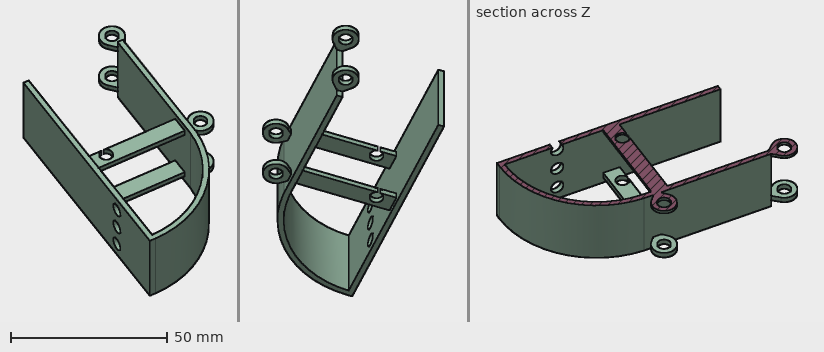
import cadquery as cq
import math

plate_length = 80.0
body_width = 37.0
body_height = 26.0
wall = 2.0
bend_radius = body_width - wall
bend_center_x = plate_length - bend_radius
back_plate_length = 46.1

hole_diameter = 4.46

plate_hole_x = 59.1
plate_hole_pitch = 8.0

bar_start_x = 36.5
bar_width = 6.0
bar_thickness = 2.0
bar_edge_gap = 2.2
bar_hole_x = 38.7
bar_hole_y = 8.0

lug_ring_width = 2.0
lug_radius = hole_diameter / 2 + lug_ring_width
lug_thickness = 2.0
lug_edge_gap = 2.5
lug_reach = 5.21
lug_root_width = wall
end_lug_root = (0.0, body_width - wall / 2)
back_lug_root = (41.2, 36.41)


def mirrored_levels(edge_gap, thickness):
    """Bottom heights of a pair of features set equally far from both edges."""
    return (edge_gap, body_height - edge_gap - thickness)


def make_body():
    """Plates and quarter-round end, extruded over the full height."""
    inner_radius = bend_radius - wall
    diagonal = math.sqrt(0.5)

    def bend_middle(radius):
        return (bend_center_x + radius * diagonal, wall + radius * diagonal)

    return (
        cq.Workplane("XY")
        .lineTo(plate_length, 0)
        .lineTo(plate_length, wall)
        .threePointArc(bend_middle(bend_radius), (back_plate_length, body_width))
        .lineTo(0, body_width)
        .lineTo(0, body_width - wall)
        .lineTo(back_plate_length, body_width - wall)
        .threePointArc(bend_middle(inner_radius), (plate_length - wall, wall))
        .lineTo(0, wall)
        .close()
        .extrude(body_height)
    )


def make_plate_holes():
    """Cutters for the three holes in the flat plate."""
    middle = body_height / 2
    centers = [(plate_hole_x, middle + step * plate_hole_pitch) for step in (-1, 0, 1)]
    return cq.Workplane("XZ").pushPoints(centers).circle(hole_diameter / 2).extrude(-wall)


def make_bar(bottom):
    """Cross bar with its pin hole; its ends meet the inner faces of the plates."""
    bar_length = body_width - 2 * wall
    bar = (
        cq.Workplane("XY", origin=(bar_start_x, wall, bottom))
        .rect(bar_width, bar_length, centered=False)
        .extrude(bar_thickness)
    )
    hole = (
        cq.Workplane("XY", origin=(bar_hole_x, bar_hole_y, bottom))
        .circle(hole_diameter / 2)
        .extrude(bar_thickness)
    )
    return bar.cut(hole)


def make_lug(root, direction, bottom):
    """Lug pointing away from its root; direction is the angle in degrees from +X."""
    half_root = lug_root_width / 2
    corner_angle = math.atan2(half_root, lug_reach)
    tangent_angle = corner_angle + math.acos(lug_radius / math.hypot(lug_reach, half_root))
    tangent_x = lug_reach - lug_radius * math.cos(tangent_angle)
    tangent_y = lug_radius * math.sin(tangent_angle)
    lug = (
        cq.Workplane("XY")
        .moveTo(0, -half_root)
        .lineTo(tangent_x, -tangent_y)
        .threePointArc((lug_reach + lug_radius, 0), (tangent_x, tangent_y))
        .lineTo(0, half_root)
        .close()
        .moveTo(lug_reach, 0)
        .circle(hole_diameter / 2)
        .extrude(lug_thickness)
    )
    root_x, root_y = root
    return lug.rotate((0, 0, 0), (0, 0, 1), direction).translate((root_x, root_y, bottom))


result = make_body().cut(make_plate_holes())

for level in mirrored_levels(bar_edge_gap, bar_thickness):
    result = result.union(make_bar(level))

for level in mirrored_levels(lug_edge_gap, lug_thickness):
    result = result.union(make_lug(end_lug_root, 180, level))
    result = result.union(make_lug(back_lug_root, 90, level))